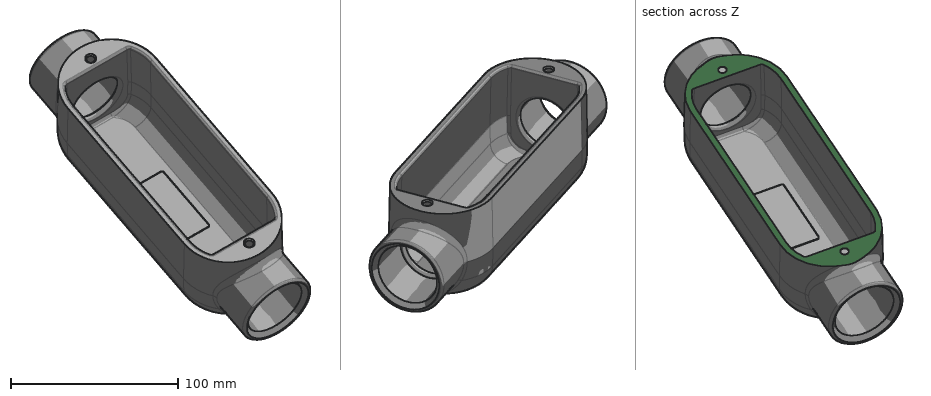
import cadquery as cq

overall_length = 224.1
body_width = 65.5
body_height = 63.5

end_centre_x = 60.5
axis_height = 28.0
draft_angle = 1.0
bottom_radius = 15.7
wall = 4.3
half_width = body_width / 2
rim_z = body_height - axis_height
floor_z = wall - axis_height

end_wall_x = 76.2
rim_round = 1.5
corner_round = 2.2

hub_radius = 49.3 / 2
hub_edge_round = 1.5
hub_blend = 4.5
throat_radius = 33.8 / 2
throat_round = 2.0
bore_inner_radius = 38.0 / 2
bore_outer_radius = 39.0 / 2
mouth_chamfer = 3.0
hub_end_x = overall_length / 2

screw_x = 82.5
screw_radius = 5.0 / 2
screw_depth = 9.0
screw_chamfer = 1.0

pad_length = 49.3
pad_width = 23.8
pad_height = 0.7
pad_corner = 1.3


def round_ended_trough(side_offset, depth, edge_radius):
    """Round-ended block, drafted up and down from Z = 0, with a rounded bottom edge."""

    def drafted_half(height):
        outline = cq.Workplane("XY").slot2D(2 * (end_centre_x + side_offset), 2 * side_offset)
        return outline.extrude(height, taper=draft_angle)

    lower = drafted_half(-depth).faces("<Z").edges().fillet(edge_radius)
    return drafted_half(rim_z).union(lower)


def make_hub():
    """Solid +X hub, from the end wall out to its rounded outer edge."""
    hub = cq.Workplane("YZ", origin=(end_wall_x, 0, 0)).circle(hub_radius)
    hub = hub.extrude(hub_end_x - end_wall_x)
    return hub.faces(">X").edges().fillet(hub_edge_round)


def make_bore():
    """+X bore: rounded throat from the cavity, tapered bore and chamfered mouth."""
    lip_radius = throat_radius + throat_round
    throat_x = end_wall_x + throat_round
    bore_start_x = throat_x + throat_round
    profile = (
        cq.Workplane("XY")
        .moveTo(end_wall_x, 0)
        .lineTo(end_wall_x, lip_radius)
        .radiusArc((throat_x, throat_radius), -throat_round)
        .radiusArc((bore_start_x, lip_radius), -throat_round)
        .lineTo(bore_start_x, bore_inner_radius)
        .lineTo(hub_end_x - mouth_chamfer, bore_outer_radius)
        .lineTo(hub_end_x, bore_outer_radius + mouth_chamfer)
        .lineTo(hub_end_x, 0)
        .close()
    )
    return profile.revolve(360, (0, 0, 0), (1, 0, 0))


def make_screw_hole():
    """Blind +X screw hole with a chamfered mouth, down from the rim."""
    profile = (
        cq.Workplane("XZ", origin=(screw_x, 0, rim_z))
        .lineTo(screw_radius + screw_chamfer, 0)
        .lineTo(screw_radius, -screw_chamfer)
        .lineTo(screw_radius, -screw_depth)
        .lineTo(0, -screw_depth)
        .close()
    )
    return profile.revolve(360, (0, 0, 0), (0, 1, 0))


def make_cavity():
    """Inside of the trough, cut off square by two end walls with rounded corners."""
    inside = round_ended_trough(half_width - wall, -floor_z, bottom_radius - wall)
    limits = cq.Workplane("XY").box(2 * end_wall_x, body_width, 2 * body_height)
    cavity = inside.intersect(limits)
    return cavity.faces("<X or >X").edges("not >Z").fillet(corner_round)


def make_pad():
    """Low rectangular pad with rounded corners, in the middle of the floor."""
    pad = cq.Workplane("XY", origin=(0, 0, floor_z)).rect(pad_length, pad_width)
    return pad.extrude(pad_height).edges("|Z").fillet(pad_corner)


def both_ends(feature):
    """The +X feature together with its mirror image at the -X end."""
    return [feature, feature.mirror("YZ")]


body = round_ended_trough(half_width, axis_height, bottom_radius)
for hub in both_ends(make_hub()):
    body = body.union(hub)
body = body.edges("%BSPLINE").fillet(hub_blend)

body = body.cut(make_cavity())
opening_edges = cq.selectors.BoxSelector(
    (-end_wall_x - wall / 2, wall / 2 - half_width, 0),
    (end_wall_x + wall / 2, half_width - wall / 2, body_height),
)
body = body.faces(">Z").edges(opening_edges).fillet(rim_round)

for cutter in both_ends(make_bore()) + both_ends(make_screw_hole()):
    body = body.cut(cutter)

result = body.union(make_pad())